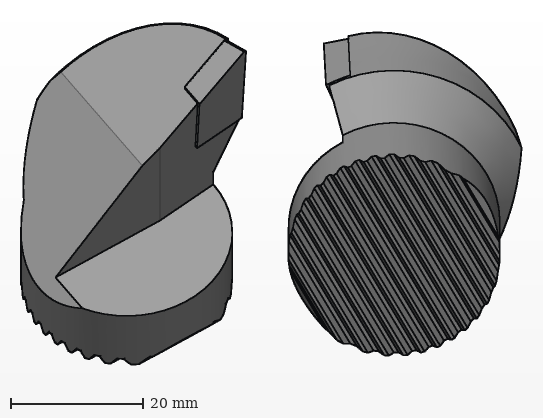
import cadquery as cq
import math

SHANK_RADIUS = 16.0
SHANK_TOP = 15.1
FLARE_RADIUS = 21.15
FLARE_TOP = 23.9
HEAD_DRAFT = 3.0
BLANK_TOP = 44.65

SKEW = 6.0
CREASE_V = 2.2
CREASE_Z = 28.05
LOWER_SLOPE = 45.0
UPPER_SLOPE = 32.0
REACH = 48.7
EDGE_BEVEL = 0.53

LEDGE_Z = 12.1
WALL_X = 1.6
WALL_FRONT_X = -0.45
WALL_FRONT_Y = -14.05

INSERT_LEFT = -1.9
INSERT_RIGHT = 2.07
INSERT_BOTTOM = 24.6
INSERT_FOOT_V = 12.9
INSERT_FOOT_LEAN = 0.5
INSERT_TIP_Y = 22.05
INSERT_RAKE = 8.0
INSERT_RISE = 0.32
INSERT_TOP = 40.6
INSERT_BEVEL = 0.5

TOOTH_PITCH = 2.5
GROOVE_DEPTH = 1.42
GROOVE_MOUTH = 1.95
GROOVE_ROOT = 0.65
GROOVES_EACH_SIDE = 6
FLAT_HEIGHT = 3.05
FLAT_ANGLE = 30.0


def tan(degrees):
    return math.tan(math.radians(degrees))


def skewed(shape):
    return shape.rotate((0, 0, 0), (0, 0, 1), -SKEW)


def upper_slope_z(v):
    return CREASE_Z + (v - CREASE_V) * tan(UPPER_SLOPE)


def make_blank():
    top_radius = FLARE_RADIUS + (BLANK_TOP - FLARE_TOP) * tan(HEAD_DRAFT)
    profile = [
        (0, 0),
        (SHANK_RADIUS, 0),
        (SHANK_RADIUS, SHANK_TOP),
        (FLARE_RADIUS, FLARE_TOP),
        (top_radius, BLANK_TOP),
        (0, BLANK_TOP),
    ]
    return cq.Workplane("XZ").polyline(profile).close().revolve(360, (0, 0), (0, 1))


def below_slopes():
    """Everything below the two sloping faces."""
    profile = [
        (-REACH, CREASE_Z - (REACH + CREASE_V) * tan(LOWER_SLOPE)),
        (CREASE_V, CREASE_Z),
        (REACH, upper_slope_z(REACH)),
        (REACH, -REACH),
        (-REACH, -REACH),
    ]
    return skewed(cq.Workplane("YZ").polyline(profile).close().extrude(REACH, both=True))


def ledge_cut():
    """Space above the ledge, bounded by the bent wall."""
    bend_y = WALL_FRONT_Y + (WALL_X - WALL_FRONT_X) / tan(SKEW)
    outline = [
        (WALL_FRONT_X, WALL_FRONT_Y),
        (WALL_X, bend_y),
        (WALL_X, REACH),
        (REACH, REACH),
        (REACH, WALL_FRONT_Y - (REACH - WALL_FRONT_X) * tan(SKEW)),
    ]
    return cq.Workplane("XY", origin=(0, 0, LEDGE_Z)).polyline(outline).close().extrude(REACH)


def insert_bar():
    """Space of the insert, with a leaning foot and sloping top but no outer end."""
    top_at_foot = upper_slope_z(INSERT_FOOT_V) + INSERT_RISE
    side = [
        (INSERT_FOOT_V - INSERT_FOOT_LEAN, INSERT_BOTTOM),
        (INSERT_FOOT_V, top_at_foot),
        (REACH, top_at_foot + (REACH - INSERT_FOOT_V) * tan(UPPER_SLOPE)),
        (REACH, INSERT_BOTTOM),
    ]
    bar = skewed(cq.Workplane("YZ").polyline(side).close().extrude(REACH, both=True))
    width = INSERT_RIGHT - INSERT_LEFT
    slab = cq.Workplane("XY").box(width, REACH, 2 * REACH, centered=(False, False, True))
    return bar.intersect(slab.translate((INSERT_LEFT, 0, 0)))


def make_insert():
    """Insert with a raked outer end that leans like the head and has a bevelled tip."""
    outside = cq.Workplane("XY").box(2 * REACH, REACH, 2 * REACH, centered=(True, False, True))
    outside = outside.rotate((0, 0, 0), (1, 0, 0), -HEAD_DRAFT)
    outside = outside.rotate((0, 0, 0), (0, 0, 1), INSERT_RAKE)
    outside = outside.translate((INSERT_RIGHT, INSERT_TIP_Y, INSERT_TOP))
    insert = insert_bar().cut(outside)
    return insert.faces(">Y").edges(">Z").chamfer(INSERT_BEVEL)


def serrations():
    """Parallel trapezoidal grooves across the base."""
    profile = [
        (-GROOVE_MOUTH / 2, 0),
        (-GROOVE_ROOT / 2, GROOVE_DEPTH),
        (GROOVE_ROOT / 2, GROOVE_DEPTH),
        (GROOVE_MOUTH / 2, 0),
    ]
    groove = cq.Workplane("XZ").polyline(profile).close().extrude(REACH, both=True)
    grooves = cq.Workplane("XY")
    for i in range(-GROOVES_EACH_SIDE, GROOVES_EACH_SIDE + 1):
        grooves = grooves.add(groove.translate((i * TOOTH_PITCH, 0, 0)))
    return skewed(grooves.combine())


def base_flats():
    """Inclined flats on the two sides of the base."""
    flat_inset = FLAT_HEIGHT * tan(FLAT_ANGLE)
    profile = [
        (SHANK_RADIUS - flat_inset, 0),
        (SHANK_RADIUS, FLAT_HEIGHT),
        (REACH, FLAT_HEIGHT),
        (REACH, 0),
    ]
    flat = cq.Workplane("XZ").polyline(profile).close().extrude(REACH, both=True)
    return skewed(flat.union(flat.mirror("YZ")))


head = make_blank().intersect(below_slopes())
rim = head.edges(cq.selectors.BoxSelector((-REACH, CREASE_V, CREASE_Z), (REACH, REACH, REACH)))
head = rim.edges("not #Z").chamfer(EDGE_BEVEL)

body = head.cut(ledge_cut()).cut(insert_bar()).union(make_insert())
result = body.cut(serrations()).cut(base_flats())